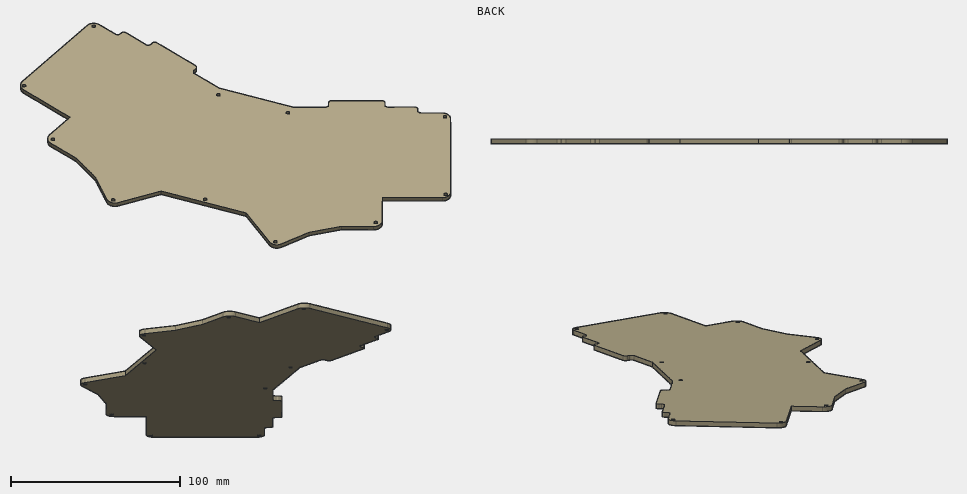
import cadquery as cq

half_width = 134.3
thickness = 3.0
corner_radius = 5.0
notch_radius = 2.0
screw_hole_diameter = 2.0

outer_corner_overshoot = 1.42
top_edge_y = 42.5
bottom_edge_y = -49.0

left_corners = [
    (-23.0, top_edge_y, 0),
    (-42.7, 49.5, notch_radius),
    (-40.8, 54.5, notch_radius),
    (-72.3, 65.8, notch_radius),
    (-74.0, 60.7, notch_radius),
    (-92.1, 67.5, notch_radius),
    (-93.8, 62.9, notch_radius),
    (-112.0, 69.3, corner_radius),
    (-half_width - outer_corner_overshoot, 3.8, corner_radius),
    (-97.8, -10.0, 0),
    (-105.8, -32.2, corner_radius),
    (-83.0, -40.3, 0),
    (-67.0, -51.3, 0),
    (-51.3, -69.8, corner_radius),
    (-26.5, bottom_edge_y, 0),
]

left_holes = [
    (-110.0, 65.3),
    (-132.0, 5.5),
    (-101.0, -30.4),
    (-50.8, -65.3),
    (-21.8, 37.0),
]
centre_hole = (0, -46.5)


def mirrored(points):
    return [(-x, y) for x, y in points]


def make_plate():
    left_outline = [(x, y) for x, y, _ in left_corners]
    outline = left_outline + mirrored(left_outline)[::-1]
    plate = cq.Workplane("XY").polyline(outline).close().extrude(thickness)
    for x, y, radius in left_corners:
        if radius > 0:
            for corner_x in (x, -x):
                edge = cq.selectors.NearestToPointSelector((corner_x, y, thickness / 2))
                plate = plate.edges("|Z").edges(edge).fillet(radius)
    return plate


def drill_screw_holes(plate):
    centres = left_holes + mirrored(left_holes) + [centre_hole]
    top = plate.faces(">Z").workplane(origin=(0, 0, thickness))
    return top.pushPoints(centres).hole(screw_hole_diameter)


result = drill_screw_holes(make_plate())